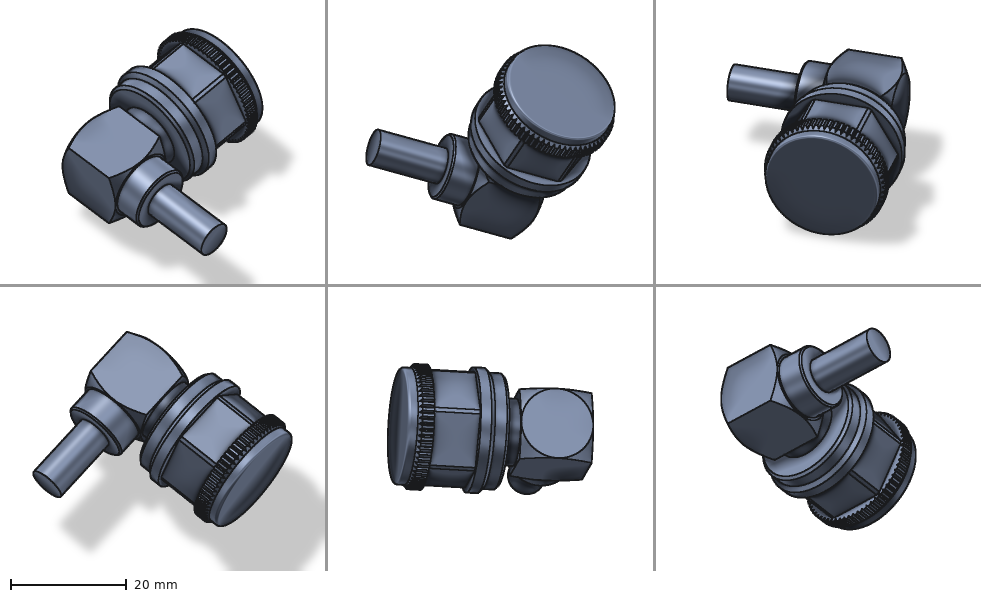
import cadquery as cq
import math


overall_length = 34.75

block_size = 12.7
block_face_diameter = 12.62
block_bevel_angle = 30
neck_diameter = 11.68
neck_length = 2.65
collar_diameter = neck_diameter
collar_length = 4.8
collar_chamfer = 0.3
tube_diameter = 6.4

rear_diameter = 20.23
rear_length = 2.6
rear_chamfer = 0.52
flange_diameter = 21.8
flange_cone_length = 0.75
flange_length = 1.88
hex_across_flats = 18.0
hex_length = 8.17
knurl_diameter = 21.75
knurl_length = 2.1
rim_diameter = 20.37
rim_length = 1.75
rim_round = 0.55

groove_count = 65
groove_width = 0.52
groove_depth = 0.45

block_half = block_size / 2
collar_end = block_half + collar_length
tube_end = overall_length - flange_diameter / 2

knurl_cone_length = (knurl_diameter - rim_diameter) / 2
nut_rear = block_half + neck_length
flange_cone_start = nut_rear + rear_length
flange_start = flange_cone_start + flange_cone_length
hex_start = flange_start + flange_length
knurl_start = hex_start + hex_length
knurl_cone_start = knurl_start + knurl_length
rim_start = knurl_cone_start + knurl_cone_length
nut_front = rim_start + rim_length


def cylinder_x(diameter, start, end):
    """Solid cylinder on the X axis."""
    return cq.Workplane("YZ", origin=(start, 0, 0)).circle(diameter / 2).extrude(end - start)


def plane_y(y):
    """Workplane facing +Y at the given station; its local x axis is Z."""
    return cq.Workplane(cq.Plane(origin=(0, y, 0), xDir=(0, 0, 1), normal=(0, 1, 0)))


def cylinder_y(diameter, start, end):
    """Solid cylinder on the Y axis."""
    return plane_y(start).circle(diameter / 2).extrude(end - start)


def make_block():
    """Cube whose corners are trimmed by a cone at each end of the X axis."""
    corner_radius = block_half * math.sqrt(2)
    face_radius = block_face_diameter / 2
    bevel_length = (corner_radius - face_radius) * math.tan(math.radians(block_bevel_angle))
    envelope = (
        cq.Workplane("XY")
        .moveTo(-block_half, 0)
        .lineTo(-block_half, face_radius)
        .lineTo(bevel_length - block_half, corner_radius)
        .lineTo(block_half - bevel_length, corner_radius)
        .lineTo(block_half, face_radius)
        .lineTo(block_half, 0)
        .close()
        .revolve(360, (0, 0, 0), (1, 0, 0))
    )
    return cq.Workplane("XY").box(block_size, block_size, block_size).intersect(envelope)


def make_elbow():
    neck = cylinder_y(neck_diameter, 0, nut_rear)
    collar = cylinder_x(collar_diameter, 0, collar_end).faces(">X").chamfer(collar_chamfer)
    tube = cylinder_x(tube_diameter, 0, tube_end)
    return make_block().union(neck).union(collar).union(tube)


def make_flange():
    """Rear shoulder of the nut, stepping up through a cone to the flange."""
    rear_radius = rear_diameter / 2
    flange_radius = flange_diameter / 2
    return (
        cq.Workplane("XY")
        .moveTo(0, nut_rear)
        .lineTo(rear_radius - rear_chamfer, nut_rear)
        .lineTo(rear_radius, nut_rear + rear_chamfer)
        .lineTo(rear_radius, flange_cone_start)
        .lineTo(flange_radius, flange_start)
        .lineTo(flange_radius, hex_start)
        .lineTo(0, hex_start)
        .close()
        .revolve(360, (0, 0, 0), (0, 1, 0))
    )


def make_hex():
    """Wrench hexagon with flats at +Z and -Z, its corners turned down to the rim diameter."""
    across_corners = hex_across_flats / math.cos(math.radians(30))
    hexagon = (
        cq.Workplane("XZ", origin=(0, hex_start, 0))
        .polygon(6, across_corners)
        .extrude(-hex_length)
    )
    return hexagon.intersect(cylinder_y(rim_diameter, hex_start, knurl_start))


def make_knurl_ring():
    """Ring with a coned front edge and V grooves cut all round."""
    knurl_radius = knurl_diameter / 2
    ring = (
        cylinder_y(knurl_diameter, knurl_start, rim_start)
        .faces(">Y")
        .chamfer(knurl_cone_length)
    )
    overshoot = 2
    root_radius = knurl_radius - groove_depth
    mouth_radius = root_radius + overshoot * groove_depth
    half_mouth = overshoot * groove_width / 2
    groove = (
        plane_y(knurl_start)
        .moveTo(root_radius, 0)
        .lineTo(mouth_radius, half_mouth)
        .lineTo(mouth_radius, -half_mouth)
        .close()
        .extrude(rim_start - knurl_start)
        .val()
    )
    pitch_angle = 360 / groove_count
    grooves = [
        groove.rotate(cq.Vector(0, 0, 0), cq.Vector(0, 1, 0), i * pitch_angle)
        for i in range(groove_count)
    ]
    return ring.cut(cq.Compound.makeCompound(grooves))


def make_rim():
    return cylinder_y(rim_diameter, rim_start, nut_front).faces(">Y").edges().fillet(rim_round)


def make_nut():
    return make_flange().union(make_hex()).union(make_knurl_ring()).union(make_rim())


elbow = make_elbow()
nut = make_nut()

result = cq.Compound.makeCompound([elbow.val(), nut.val()])